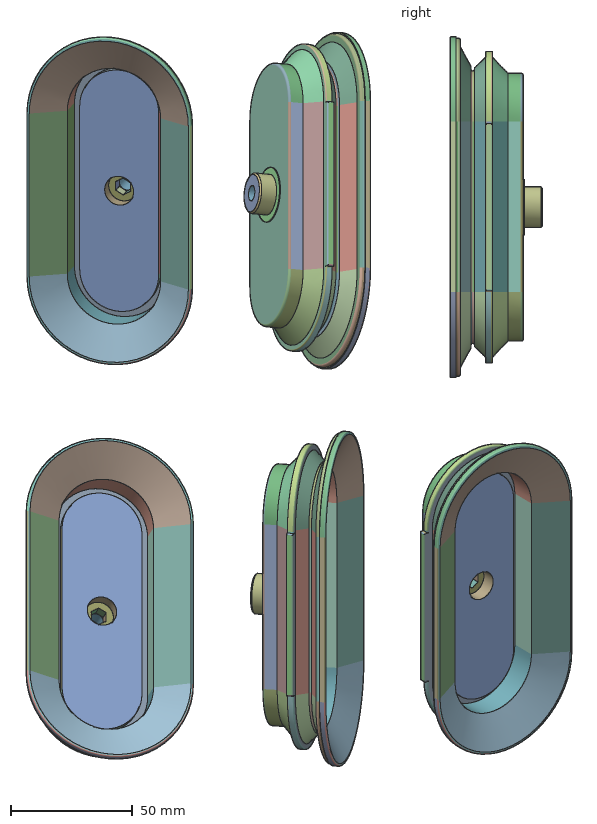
import cadquery as cq


overall_length = 140.0
lip_radius = 35.0
end_offset = overall_length / 2 - lip_radius
edge_fillet = 0.5

lip_height = 2.5
lip_mouth_radius = 33.9
backing_radius = 34.5
backing_top = 4.3
backing_fillet = 1.0
backing_inner_radius = 30.8

groove_radius = 21.0
groove_bottom = 8.7
groove_top = 10.0
groove_fillet = 0.4
lip_cone_radius = 22.8
fold_cone_radius = 22.1

fold_bottom = 14.5
fold_top = 17.5
fold_radius = 29.0
fold_root_radius = 26.6
side_bar_half_width = 30.7
side_bar_half_length = 34.5

body_radius = 20.0
body_bottom = 23.8
body_top = 30.1
body_fillet = 1.0

throat_radius = 19.9
throat_start = 8.0
cavity_floor = 19.0
plate_radius = 16.8
plate_face = 16.0

overall_depth = 38.0
stud_radius = 8.4
stud_chamfer = 0.7
collar_radius = 11.3
collar_height = 0.4

counterbore_radius = 6.2
counterbore_depth = 6.2
hex_across_flats = 6.3
hex_depth = 5.6
bore_radius = hex_across_flats / 2


def oval_body(profile):
    """Carry a half profile (radius, height along Y) around the oval."""
    straight = profile.extrude(end_offset, both=True)
    straight = straight.union(straight.mirror("YZ"))
    end = profile.toPending().revolve(180, (0, 0, 0), (0, -1, 0)).translate((0, 0, end_offset))
    return straight.union(end).union(end.mirror("XY"))


def cylinder(radius, start, height):
    """Round cylinder on the Y axis, from start towards +Y."""
    return cq.Workplane("XZ", origin=(0, start, 0)).circle(radius).extrude(-height)


def make_shell():
    profile = (
        cq.Workplane("XY")
        .lineTo(lip_radius - edge_fillet, 0)
        .radiusArc((lip_radius, edge_fillet), -edge_fillet)
        .lineTo(lip_radius, lip_height)
        .lineTo(backing_radius, lip_height)
        .lineTo(backing_radius, backing_top - backing_fillet)
        .radiusArc((backing_radius - backing_fillet, backing_top), -backing_fillet)
        .lineTo(backing_inner_radius, backing_top)
        .lineTo(lip_cone_radius, groove_bottom)
        .lineTo(groove_radius + groove_fillet, groove_bottom)
        .radiusArc((groove_radius, groove_bottom + groove_fillet), groove_fillet)
        .lineTo(groove_radius, groove_top - groove_fillet)
        .radiusArc((groove_radius + groove_fillet, groove_top), groove_fillet)
        .lineTo(fold_cone_radius, groove_top)
        .lineTo(fold_root_radius, fold_bottom)
        .lineTo(fold_radius - edge_fillet, fold_bottom)
        .radiusArc((fold_radius, fold_bottom + edge_fillet), -edge_fillet)
        .lineTo(fold_radius, fold_top - edge_fillet)
        .radiusArc((fold_radius - edge_fillet, fold_top), -edge_fillet)
        .lineTo(fold_root_radius, fold_top)
        .lineTo(body_radius, body_bottom)
        .lineTo(body_radius, body_top - body_fillet)
        .radiusArc((body_radius - body_fillet, body_top), -body_fillet)
        .lineTo(0, body_top)
        .close()
    )
    return oval_body(profile)


def make_side_bars():
    return (
        cq.Workplane("XY")
        .center(0, (fold_bottom + fold_top) / 2)
        .rect(2 * side_bar_half_width, fold_top - fold_bottom)
        .extrude(side_bar_half_length, both=True)
        .faces("<X or >X")
        .edges()
        .fillet(edge_fillet)
    )


def make_cavity():
    profile = (
        cq.Workplane("XY")
        .lineTo(lip_mouth_radius, 0)
        .lineTo(throat_radius, throat_start)
        .lineTo(throat_radius, cavity_floor)
        .lineTo(plate_radius, cavity_floor)
        .lineTo(plate_radius, plate_face)
        .lineTo(0, plate_face)
        .close()
    )
    return oval_body(profile)


def make_stud():
    collar = cylinder(collar_radius, body_top, collar_height)
    stud = cylinder(stud_radius, body_top, overall_depth - body_top)
    return collar.union(stud.faces(">Y").chamfer(stud_chamfer))


def make_bore():
    hex_start = plate_face + counterbore_depth
    counterbore = cylinder(counterbore_radius, plate_face, counterbore_depth)
    hex_socket = (
        cq.Workplane("XZ", origin=(0, hex_start, 0))
        .polygon(6, hex_across_flats, circumscribed=True)
        .extrude(-hex_depth)
    )
    bore = cylinder(bore_radius, plate_face, overall_depth - plate_face)
    return counterbore.union(hex_socket).union(bore)


result = (
    make_shell()
    .union(make_side_bars())
    .cut(make_cavity())
    .union(make_stud())
    .cut(make_bore())
)